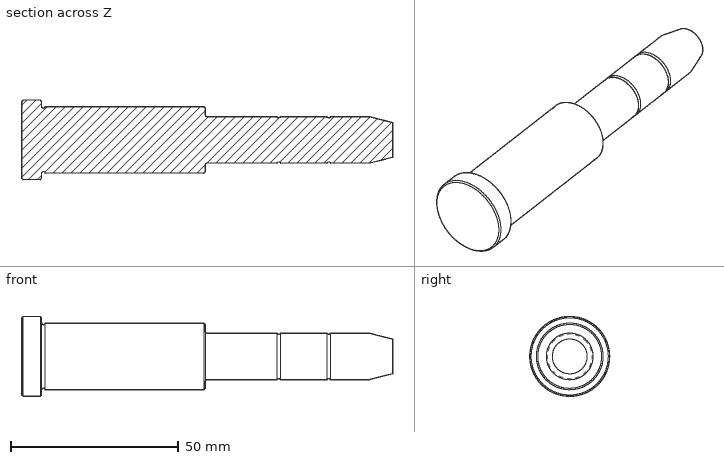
import cadquery as cq
import math

total_length = 111.0
head_diameter = 24.0
head_length = 6.0
head_chamfer = 0.4
body_diameter = 20.0
body_end = 55.0
body_chamfer = 0.4
undercut_width = 1.0
undercut_depth = 0.4
shank_diameter = 14.0
shank_fillet = 0.5
groove_starts = (76.4, 91.4)
groove_width = 1.0
groove_depth = 0.3
tip_diameter = 10.4
tip_start = 104.0

head_radius = head_diameter / 2
body_radius = body_diameter / 2
shank_radius = shank_diameter / 2
tip_radius = tip_diameter / 2


def relief_groove(start, width, outer_radius, depth):
    """Ring cutter with a shallow rounded floor."""
    return (
        cq.Workplane("XY")
        .moveTo(start, outer_radius)
        .threePointArc(
            (start + width / 2, outer_radius - depth),
            (start + width, outer_radius),
        )
        .close()
        .revolve(360, (0, 0, 0), (1, 0, 0))
    )


fillet_middle = shank_fillet * (1 - math.sqrt(0.5))
pin = (
    cq.Workplane("XY")
    .moveTo(0, 0)
    .lineTo(0, head_radius - head_chamfer)
    .lineTo(head_chamfer, head_radius)
    .lineTo(head_length - head_chamfer, head_radius)
    .lineTo(head_length, head_radius - head_chamfer)
    .lineTo(head_length, body_radius)
    .lineTo(body_end - body_chamfer, body_radius)
    .lineTo(body_end, body_radius - body_chamfer)
    .lineTo(body_end, shank_radius + shank_fillet)
    .threePointArc(
        (body_end + fillet_middle, shank_radius + fillet_middle),
        (body_end + shank_fillet, shank_radius),
    )
    .lineTo(tip_start, shank_radius)
    .lineTo(total_length, tip_radius)
    .lineTo(total_length, 0)
    .close()
    .revolve(360, (0, 0, 0), (1, 0, 0))
)

pin = pin.cut(relief_groove(head_length, undercut_width, body_radius, undercut_depth))

for groove_start in groove_starts:
    pin = pin.cut(relief_groove(groove_start, groove_width, shank_radius, groove_depth))

result = pin